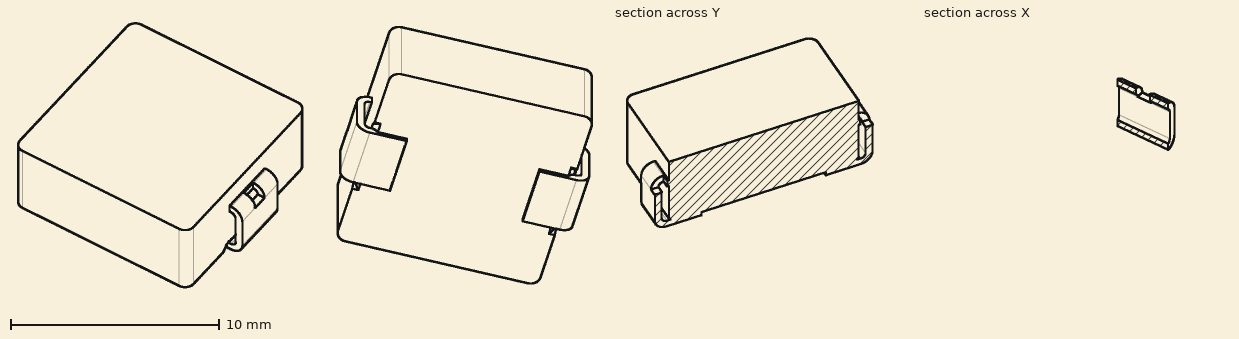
import cadquery as cq

body_side = 10.1
body_height = 4.0
corner_radius = 0.5
standoff = 0.2

overall_length = 11.6
strip_thickness = 0.4
strip_width = 3.0
strip_height = 2.99
foot_length = 2.49
bend_radius = 0.65
notch_width = 0.8
notch_length = 0.67

recess_depth = 0.3
recess_top_width = 3.4
recess_bottom_width = recess_top_width + 2 * recess_depth

half_length = overall_length / 2
half_body = body_side / 2
body_overhang = half_length - half_body


def make_body():
    """Square block with rounded vertical edges."""
    block = cq.Workplane("XY").workplane(offset=standoff).rect(body_side, body_side).extrude(body_height)
    return block.edges("|Z").fillet(corner_radius)


def bent_block(left, right, bottom, top, radius):
    """Block as wide as the strip, rounded on its two outer (-X) edges."""
    block = cq.Workplane("XY").box(right - left, strip_width, top - bottom, centered=(False, True, False))
    return block.translate((left, 0, bottom)).edges("|Y and <X").fillet(radius)


def make_terminal():
    """C-shaped strip on the -X end: foot, upright and short top leg with a central notch."""
    foot_tip = -half_length + foot_length
    outer = bent_block(-half_length, foot_tip, 0, strip_height, bend_radius)
    inner = bent_block(
        -half_length + strip_thickness,
        foot_tip,
        strip_thickness,
        strip_height - strip_thickness,
        bend_radius - strip_thickness,
    )
    above_foot = cq.Workplane("XY").box(
        foot_length - body_overhang, strip_width, strip_height, centered=(False, True, False)
    ).translate((-half_body, 0, strip_thickness))
    notch = cq.Workplane("XY").box(
        notch_length, notch_width, bend_radius, centered=(False, True, False)
    ).translate((-half_length, 0, strip_height - bend_radius))
    return outer.cut(inner).cut(above_foot).cut(notch)


def make_recess():
    """Trapezoidal channel at the -X wall whose ceiling slopes at 45 degrees down to the body underside."""
    recess_top = standoff + recess_depth
    channel = (
        cq.Workplane("YZ", origin=(-half_body, 0, 0))
        .polyline([
            (-recess_bottom_width / 2, standoff),
            (recess_bottom_width / 2, standoff),
            (recess_top_width / 2, recess_top),
            (-recess_top_width / 2, recess_top),
        ])
        .close()
        .extrude(recess_depth)
    )
    wedge = (
        cq.Workplane("XZ")
        .polyline([
            (-half_body, standoff),
            (-half_body + recess_depth, standoff),
            (-half_body, recess_top),
        ])
        .close()
        .extrude(recess_bottom_width / 2, both=True)
    )
    return channel.intersect(wedge)


result = make_body()
for turn in (0, 180):
    recess = make_recess().rotate((0, 0, 0), (0, 0, 1), turn)
    terminal = make_terminal().rotate((0, 0, 0), (0, 0, 1), turn)
    result = result.cut(recess).union(terminal)